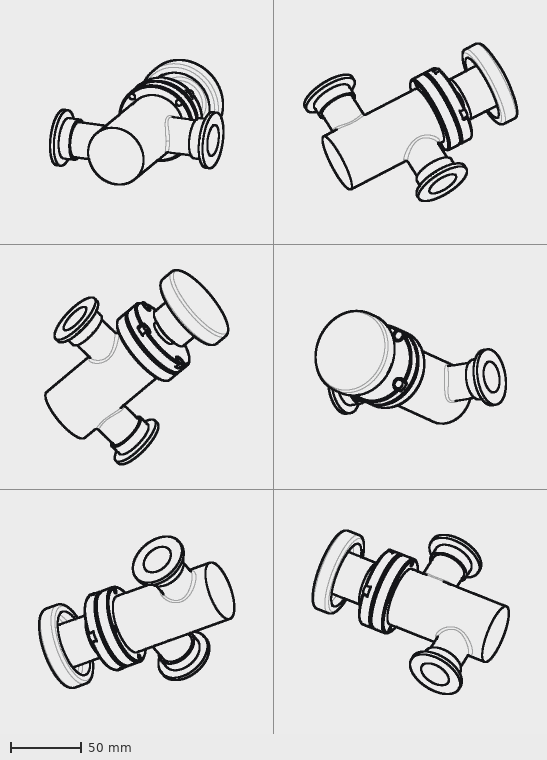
import cadquery as cq
import math

total_length = 135.8
port_reach = 51.6

body_diameter = 42.6
body_length = 75.5

flange_diameter = 56.8
lower_flange_thickness = 10.0
upper_flange_thickness = 9.5
flange_chamfer = 1.0

bolt_count = 4
first_bolt_angle = 45.0
bolt_hole_diameter = 4.3
bolt_circle_diameter = 50.8
bolt_pocket_diameter = 8.8
bolt_pocket_depth = 4.2
bolt_head_diameter = 6.7
bolt_head_height = 4.1

collar_diameter = 19.0
collar_length = 3.3
spindle_diameter = 11.0

stem_diameter = 32.0
stem_start = 100.8
knob_diameter = 60.0
knob_height = 16.8
knob_edge_radius = 2.0
dome_height = 4.8
recess_diameter = 48.0
recess_depth = 8.1
recess_fillet = 2.0

left_port_y = 22.4
right_port_y = 57.2
tube_diameter = 25.4
hub_diameter = 29.0
hub_end = 12.6
port_flange_diameter = 40.0
port_rim_thickness = 3.0
port_taper_angle = 15.0
bore_diameter = 22.1
port_weld_radius = 2.0

upper_flange_start = body_length + lower_flange_thickness
upper_flange_end = upper_flange_start + upper_flange_thickness
collar_end = upper_flange_end + collar_length
knob_start = total_length - knob_height


def disc(diameter, start, end):
    """Cylinder on the valve axis between two Y levels."""
    plane = cq.Workplane("XZ", origin=(0, start, 0))
    return plane.circle(diameter / 2).extrude(start - end)


def port(side, y):
    """Solid flanged port pointing along X; side is -1 or +1."""
    taper_width = (port_flange_diameter - hub_diameter) / 2 * math.tan(math.radians(port_taper_angle))
    rim_back = port_reach - port_rim_thickness
    profile = [
        (0, 0),
        (port_reach, 0),
        (port_reach, port_flange_diameter / 2),
        (rim_back, port_flange_diameter / 2),
        (rim_back - taper_width, hub_diameter / 2),
        (port_reach - hub_end, hub_diameter / 2),
        (port_reach - hub_end, tube_diameter / 2),
        (0, tube_diameter / 2),
    ]
    outline = cq.Workplane("XY").polyline([(side * x, r) for x, r in profile]).close()
    return outline.revolve(360, (0, 0, 0), (1, 0, 0)).translate((0, y, 0))


def port_bore(side, y):
    """Bore of a port, stopping at the surface of the body tube."""
    plane = cq.Workplane("YZ", origin=(0, y, 0))
    bore = plane.circle(bore_diameter / 2).extrude(side * port_reach)
    return bore.cut(disc(body_diameter, 0, body_length))


def body_with_ports():
    """Closed body tube with a port welded to each side."""
    body = disc(body_diameter, 0, body_length)
    for side, y in ((-1, left_port_y), (1, right_port_y)):
        body = body.union(port(side, y))
        near_joint = cq.selectors.BoxSelector(
            (0, y - tube_diameter, -tube_diameter),
            (side * body_diameter / 2, y + tube_diameter, tube_diameter),
        )
        saddle = body.edges(near_joint).edges("not %CIRCLE").edges("not %LINE")
        body = saddle.fillet(port_weld_radius).cut(port_bore(side, y))
    return body


def flange(start, end):
    """Flange disc with both rims chamfered."""
    return disc(flange_diameter, start, end).faces("<Y or >Y").chamfer(flange_chamfer)


def bolted_flanges():
    """Two flanges whose chamfers meet in a V groove, with bolt heads sunk into the upper one."""
    pair = flange(body_length, upper_flange_start).union(flange(upper_flange_start, upper_flange_end))
    pocket_floor = upper_flange_end - bolt_pocket_depth
    hole = disc(bolt_hole_diameter, body_length, pocket_floor)
    pocket = disc(bolt_pocket_diameter, pocket_floor, upper_flange_end)
    head = disc(bolt_head_diameter, pocket_floor, pocket_floor + bolt_head_height)
    radius = bolt_circle_diameter / 2
    for i in range(bolt_count):
        angle = math.radians(first_bolt_angle + i * 360 / bolt_count)
        place = (radius * math.cos(angle), 0, radius * math.sin(angle))
        pair = pair.cut(hole.translate(place)).cut(pocket.translate(place)).union(head.translate(place))
    return pair


def spindle():
    """Collar and rod that link the upper flange to the handwheel."""
    collar = disc(collar_diameter, upper_flange_end, collar_end)
    return collar.union(disc(spindle_diameter, upper_flange_end, knob_start))


def handwheel():
    """Domed knob on a round stem, with a ring recess around the stem on its underside."""
    radius = knob_diameter / 2
    shoulder = total_length - dome_height
    dome_radius = (radius**2 + dome_height**2) / (2 * dome_height)
    half_angle = math.asin(radius / dome_radius) / 2
    dome_middle = (
        dome_radius * math.sin(half_angle),
        total_length - dome_radius * (1 - math.cos(half_angle)),
    )
    knob = (
        cq.Workplane("XY")
        .moveTo(0, knob_start)
        .lineTo(radius, knob_start)
        .lineTo(radius, shoulder)
        .threePointArc(dome_middle, (0, total_length))
        .close()
        .revolve(360, (0, 0, 0), (0, 1, 0))
        .edges("%CIRCLE")
        .fillet(knob_edge_radius)
    )
    recess_floor = knob_start + recess_depth
    stem = disc(stem_diameter, stem_start, recess_floor)
    recess = disc(recess_diameter, knob_start, recess_floor).cut(stem)
    recess = recess.faces(">Y").edges().fillet(recess_fillet)
    return knob.cut(recess).union(stem)


result = body_with_ports().union(bolted_flanges()).union(spindle()).union(handwheel())